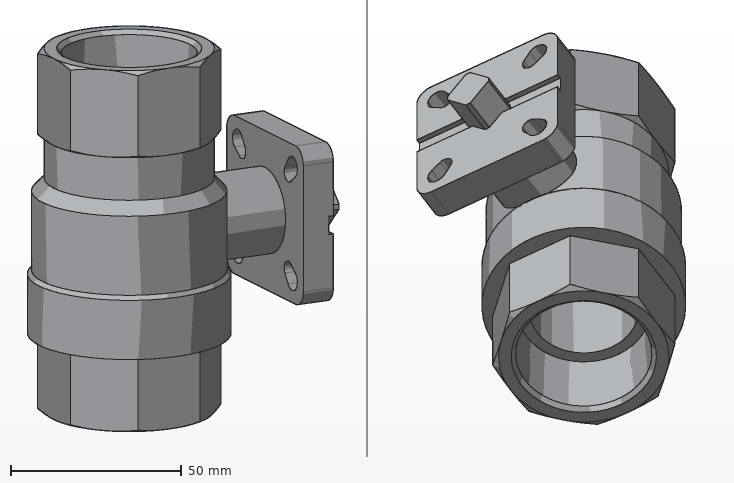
import cadquery as cq
import math

total_height = 110.0
octagon_width = 50.0
lower_octagon_top = 23.3
upper_octagon_base = 83.5
octagon_sides = 8
octagon_chamfer_drop = 1.0
shoulder_diameter = octagon_width
body_diameter = 57.5
cone_base = 66.7
cone_top = 70.5
collar_diameter = 60.0
collar_top = 42.6

bore_diameter = 32.0
socket_depth = 20.9
socket_chamfer = 1.3
socket_mouth_diameter = 42.7
thread_taper = 1 / 16

branch_height = 55.0
neck_diameter = 26.0
flange_inner_y = 45.1
flange_outer_y = 55.1
flange_side = 48.3
flange_corner_radius = 5.0
notch_width = 5.5
notch_depth = 1.5
overall_depth = 96.0
stem_end_y = overall_depth - collar_diameter / 2
stem_square = 11.0
stem_diameter = 14.1

slot_inner_diameter = 5.2
slot_inner_reach = 20.8
slot_outer_diameter = 6.4
slot_outer_reach = 24.3


def octagon(base, top, chamfer_base, chamfer_top):
    """Octagonal prism with its corners turned off at the chosen ends."""
    corner_diameter = octagon_width / math.cos(math.pi / octagon_sides)
    prism = (
        cq.Workplane("XY", origin=(0, 0, base))
        .polygon(octagon_sides, corner_diameter)
        .extrude(top - base)
        .rotate((0, 0, 0), (0, 0, 1), 180 / octagon_sides)
    )
    flat_radius = octagon_width / 2
    corner_radius = corner_diameter / 2
    base_drop = octagon_chamfer_drop if chamfer_base else 0
    top_drop = octagon_chamfer_drop if chamfer_top else 0
    profile = cq.Workplane("XZ").moveTo(0, base)
    if chamfer_base:
        profile = profile.lineTo(flat_radius, base)
    profile = profile.lineTo(corner_radius, base + base_drop)
    profile = profile.lineTo(corner_radius, top - top_drop)
    if chamfer_top:
        profile = profile.lineTo(flat_radius, top)
    envelope = profile.lineTo(0, top).close().revolve(360, (0, 0, 0), (0, 1, 0))
    return prism.intersect(envelope)


def turned_body():
    """Collar, body, cone and shoulder between the octagonal ends."""
    collar_chamfer = (collar_diameter - body_diameter) / 2
    outline = [
        (0, lower_octagon_top),
        (collar_diameter / 2, lower_octagon_top),
        (collar_diameter / 2, collar_top - collar_chamfer),
        (body_diameter / 2, collar_top),
        (body_diameter / 2, cone_base),
        (shoulder_diameter / 2, cone_top),
        (shoulder_diameter / 2, upper_octagon_base),
        (0, upper_octagon_base),
    ]
    return cq.Workplane("XZ").polyline(outline).close().revolve(360, (0, 0, 0), (0, 1, 0))


def branch_plane(y):
    """Plane square to the branch axis, with its normal along +Y."""
    return cq.Workplane(cq.Plane(origin=(0, y, branch_height), xDir=(1, 0, 0), normal=(0, 1, 0)))


def tapered_slot(angle):
    """Slot with a narrow and a wide round end joined by tangent walls."""
    inner_radius = slot_inner_diameter / 2
    outer_radius = slot_outer_diameter / 2
    wall_slope = math.asin((outer_radius - inner_radius) / (slot_outer_reach - slot_inner_reach))
    inner_x = slot_inner_reach - inner_radius * math.sin(wall_slope)
    inner_y = inner_radius * math.cos(wall_slope)
    outer_x = slot_outer_reach - outer_radius * math.sin(wall_slope)
    outer_y = outer_radius * math.cos(wall_slope)
    return (
        branch_plane(flange_inner_y)
        .transformed(rotate=(0, 0, angle))
        .moveTo(inner_x, -inner_y)
        .lineTo(outer_x, -outer_y)
        .threePointArc((slot_outer_reach + outer_radius, 0), (outer_x, outer_y))
        .lineTo(inner_x, inner_y)
        .threePointArc((slot_inner_reach - inner_radius, 0), (inner_x, -inner_y))
        .close()
        .extrude(flange_outer_y - flange_inner_y)
    )


def flange():
    """Square flange with rounded corners, four diagonal slots and a notch across its outer face."""
    thickness = flange_outer_y - flange_inner_y
    plate = (
        branch_plane(flange_inner_y)
        .rect(flange_side, flange_side)
        .extrude(thickness)
        .edges("|Y")
        .fillet(flange_corner_radius)
    )
    notch = branch_plane(flange_outer_y).rect(flange_side, notch_width).extrude(-notch_depth)
    plate = plate.cut(notch)
    for angle in (45, 135, 225, 315):
        plate = plate.cut(tapered_slot(angle))
    return plate


def stem():
    """Square drive standing on its corner, with its corners rounded off."""
    base_y = flange_outer_y - notch_depth
    length = stem_end_y - base_y
    square = (
        branch_plane(base_y)
        .transformed(rotate=(0, 0, 45))
        .rect(stem_square, stem_square)
        .extrude(length)
    )
    stock = branch_plane(base_y).circle(stem_diameter / 2).extrude(length)
    return square.intersect(stock)


def bore():
    """Through bore with a chamfered, tapered socket at each end."""
    thread_diameter = socket_mouth_diameter - 2 * socket_chamfer
    socket_end_diameter = thread_diameter - thread_taper * (socket_depth - socket_chamfer)
    outline = [
        (0, 0),
        (socket_mouth_diameter / 2, 0),
        (thread_diameter / 2, socket_chamfer),
        (socket_end_diameter / 2, socket_depth),
        (bore_diameter / 2, socket_depth),
        (bore_diameter / 2, total_height - socket_depth),
        (socket_end_diameter / 2, total_height - socket_depth),
        (thread_diameter / 2, total_height - socket_chamfer),
        (socket_mouth_diameter / 2, total_height),
        (0, total_height),
    ]
    return cq.Workplane("XZ").polyline(outline).close().revolve(360, (0, 0, 0), (0, 1, 0))


neck = branch_plane(0).circle(neck_diameter / 2).extrude(flange_inner_y)

result = (
    turned_body()
    .union(octagon(0, lower_octagon_top, True, False))
    .union(octagon(upper_octagon_base, total_height, True, True))
    .union(neck)
    .union(flange())
    .union(stem())
    .cut(bore())
)